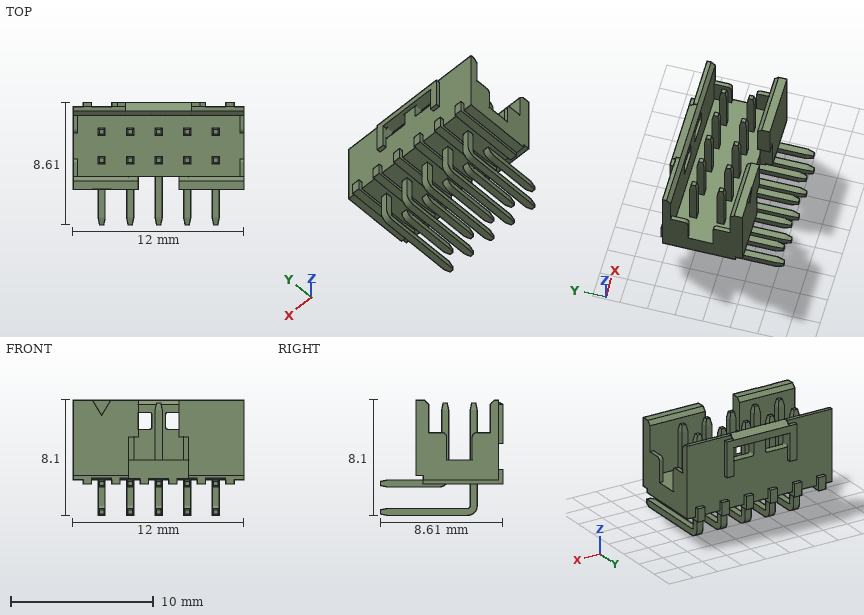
import cadquery as cq
import math


columns = 5
length = 12.0
depth = 5.81
height = 5.6
floor_top = 1.4
back_wall = 0.6
front_wall = 0.9
end_wall = 0.3
end_wall_top = 3.31
rim_chamfer = 0.3
inner_front = front_wall
inner_back = depth - back_wall

step_depth = 0.5
step_height = 0.3

slot_front = 2.15
slot_width = 1.8
slot_fillet = 0.3

opening_width = 2.83
opening_low_width = 4.2
opening_low_top = 3.02

mark_width = 1.3
mark_height = 1.08
mark_depth = 0.04

key_width = 5.81
key_thickness = 0.3
key_bottom = 2.55
key_top = 5.3
key_ramp_width = 4.63

window_gap = 0.98
window_width = (key_ramp_width - window_gap) / 2
window_bottom = 3.55
window_top = 4.73
window_fillet = 0.15

pitch = length / (columns + 1)
pin_width = 0.5
pin_top = 5.4
pin_tip_length = 0.5
pin_tip_width = 0.3
bend_inner_radius = 0.18
tail_reach = 2.5
front_row_y = 2.05
front_row_drop = pin_width
rear_row_drop = 2.5

foot_width = 0.6
foot_height = 0.3
foot_heel_top = 0.73
relief_height = 0.15
relief_run = 1.08


def block(x_span, y_span, z_span):
    """Box between the given limits along each axis."""
    size = [span[1] - span[0] for span in (x_span, y_span, z_span)]
    corner = (x_span[0], y_span[0], z_span[0])
    return cq.Workplane("XY").box(*size, centered=False).translate(corner)


def centred_block(width, y_span, z_span):
    """Box centred on X = 0."""
    return block((-width / 2, width / 2), y_span, z_span)


def side_prism(points, width):
    """Prism centred on X = 0 with a (Y, Z) polygon as its section."""
    return cq.Workplane("YZ").polyline(points).close().extrude(width / 2, both=True)


def make_shell():
    """Floor and long walls in section, closed by low slotted end walls."""
    section = [
        (step_depth, 0),
        (depth, 0),
        (depth, height),
        (inner_back + rim_chamfer, height),
        (inner_back, height - rim_chamfer),
        (inner_back, floor_top),
        (inner_front, floor_top),
        (inner_front, height - rim_chamfer),
        (inner_front - rim_chamfer, height),
        (0, height),
        (0, step_height),
        (step_depth, step_height),
    ]
    shell = side_prism(section, length)

    slot_back = slot_front + slot_width
    end_z = (0, end_wall_top)
    for y_span, rounded_edge in (
        ((inner_front, slot_front), ">Y and >Z"),
        ((slot_back, inner_back), "<Y and >Z"),
    ):
        shoulder = centred_block(length, y_span, end_z).edges(rounded_edge).fillet(slot_fillet)
        inside = centred_block(length - 2 * end_wall, y_span, end_z)
        shell = shell.union(shoulder.cut(inside))
    return shell


def front_opening():
    """Stepped gap through the front wall, down to the underside."""
    wall_span = (0, inner_front)
    narrow = centred_block(opening_width, wall_span, (0, height))
    wide = centred_block(opening_low_width, wall_span, (0, opening_low_top))
    return narrow.union(wide)


def pin_one_mark():
    """Shallow triangle at the top of the front face, over the first column."""
    centre = column_positions[0]
    triangle = [
        (centre - mark_width / 2, height),
        (centre + mark_width / 2, height),
        (centre, height - mark_height),
    ]
    return cq.Workplane("XZ").polyline(triangle).close().extrude(-mark_depth)


def add_key(body):
    """Pad on the back wall, with a central ramp rising into the wall rim."""
    key_back = depth + key_thickness
    ramp_front = inner_back + rim_chamfer
    pad = centred_block(key_width, (depth, key_back), (key_bottom, key_top))
    rim = centred_block(key_ramp_width, (ramp_front, depth), (key_top, height))
    ramp = side_prism([(ramp_front, key_top), (key_back, key_top), (ramp_front, height)], key_ramp_width)
    return body.cut(rim).union(pad).union(ramp)


def back_windows():
    """Pair of rounded windows, with one open recess in the key behind and below them."""
    key_back = depth + key_thickness
    offset = (window_gap + window_width) / 2
    window = (
        centred_block(window_width, (inner_back, depth), (window_bottom, window_top))
        .edges("|Y")
        .fillet(window_fillet)
    )
    recess = centred_block(key_ramp_width, (depth, key_back), (key_bottom, window_top))
    for side in (-1, 1):
        recess = recess.union(window.translate((side * offset, 0, 0)))
    return recess


def underside_relief():
    """Wedge that lifts the front of the underside clear of the pin tails."""
    wedge = [(step_depth, 0), (step_depth + relief_run, 0), (step_depth, relief_height)]
    outer_feet_spacing = foot_positions[-1] - foot_positions[0]
    return side_prism(wedge, outer_feet_spacing - foot_width)


def make_feet():
    """Ribs under the body, each turning up behind the back wall."""
    heel_back = depth + key_thickness
    feet = cq.Workplane("XY")
    for x in foot_positions:
        front = inner_front if abs(x) < opening_low_width / 2 else step_depth
        x_span = (x - foot_width / 2, x + foot_width / 2)
        feet = feet.union(block(x_span, (front, heel_back), (-foot_height, relief_height)))
        feet = feet.union(block(x_span, (depth, heel_back), (-foot_height, foot_heel_top)))
    return feet


def pin_tip(plane):
    """Tapered square end standing on the given workplane."""
    inset = (pin_width - pin_tip_width) / 2
    taper = math.degrees(math.atan2(inset, pin_tip_length))
    return plane.rect(pin_width, pin_width).extrude(pin_tip_length, taper=taper)


def make_pin(row_y, drop):
    """Square pin bent from vertical to a tail pointing forward, both ends tapered."""
    bend_radius = bend_inner_radius + pin_width / 2
    tail_z = pin_width / 2 - drop
    post_end = pin_top - pin_tip_length
    tail_end = pin_tip_length - tail_reach

    path = (
        cq.Workplane("YZ")
        .moveTo(row_y, post_end)
        .lineTo(row_y, tail_z + bend_radius)
        .tangentArcPoint((row_y - bend_radius, tail_z), relative=False)
        .lineTo(tail_end, tail_z)
    )
    post_plane = cq.Workplane("XY", origin=(0, row_y, post_end))
    tail_plane = cq.Workplane("XZ", origin=(0, tail_end, tail_z))
    shank = post_plane.rect(pin_width, pin_width).sweep(path)
    post_tip = pin_tip(post_plane)
    tail_tip = pin_tip(tail_plane)
    return shank.union(post_tip).union(tail_tip)


column_positions = [(i - (columns - 1) / 2) * pitch for i in range(columns)]
foot_positions = [(i - columns / 2) * pitch for i in range(columns + 1)]

result = make_shell().cut(front_opening()).cut(pin_one_mark())
result = add_key(result).cut(back_windows())
result = result.cut(underside_relief()).union(make_feet())

for row_y, drop in ((front_row_y, front_row_drop), (front_row_y + pitch, rear_row_drop)):
    pin = make_pin(row_y, drop)
    for x in column_positions:
        result = result.union(pin.translate((x, 0, 0)))